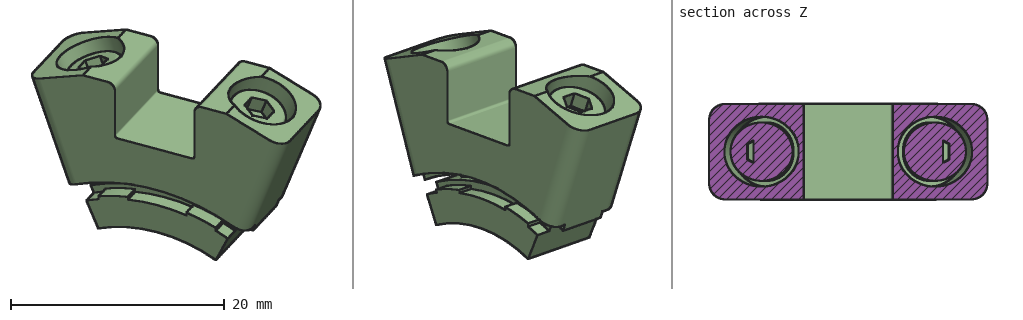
import cadquery as cq
import math


tilt = 20.0
half_length = 13.42
body_width = 9.0
top_z = 30.37
shoulder_x = 7.52
body_arc_radius = 19.87
corner_radius = 1.5
slot_width = 8.3
slot_depth = 5.95
slot_mouth_radius = 0.8
slot_floor_radius = 0.25

rib_radius = 19.17
rib_width = 4.91
rib_overlap = 0.27
jaw_width = 8.0
jaw_inner_radius = 14.85
jaw_outer_radius = 18.65
jaw_half_angle = 24.5
ledge_radius = 17.85
pad_radius = 18.15
pad_inner_x = 3.05
pad_outer_x = 6.15

counterbore_diameter = 6.5
counterbore_x = 9.08
head_diameter = 5.5
head_height = 3.0
head_recess = 1.05
head_edge_radius = 0.55
shank_diameter = 3.0
socket_flats = 2.5
socket_depth = 1.5

slope = math.tan(math.radians(tilt))
shoulder_end_z = top_z - (half_length - shoulder_x) * slope


def across_y(profile, width):
    """Extrude an XZ profile symmetrically about Y = 0."""
    return profile.extrude(width / 2, both=True)


def disc(radius, width):
    return across_y(cq.Workplane("XZ").circle(radius), width)


def wedge(width):
    """Body outline with sloping ends, running down past its lower arc."""
    base_z = jaw_inner_radius
    base_x = half_length - (shoulder_end_z - base_z) * slope
    outline = cq.Workplane("XZ").polyline([
        (-base_x, base_z),
        (-half_length, shoulder_end_z),
        (-shoulder_x, top_z),
        (shoulder_x, top_z),
        (half_length, shoulder_end_z),
        (base_x, base_z),
    ]).close()
    return across_y(outline, width)


def end_wall_edges(block):
    """Round the four long edges of the sloping end walls."""
    for side in (-1, 1):
        direction = cq.Vector(side * slope, 0, 1)
        block = block.edges(cq.selectors.ParallelDirSelector(direction)).fillet(corner_radius)
    return block


def make_body():
    body = end_wall_edges(wedge(body_width))
    slot = (
        cq.Workplane("XY")
        .box(slot_width, body_width, slot_depth, centered=(True, True, False))
        .translate((0, 0, top_z - slot_depth))
        .edges("|Y and <Z")
        .fillet(slot_floor_radius)
    )
    body = body.cut(slot)
    for side in (-1, 1):
        mouth_edge = cq.selectors.NearestToPointSelector((side * slot_width / 2, 0, top_z))
        body = body.edges(mouth_edge).fillet(slot_mouth_radius)
    return body.cut(disc(body_arc_radius, body_width))


def make_rib():
    ring = disc(body_arc_radius + rib_overlap, rib_width).cut(disc(rib_radius, rib_width))
    return wedge(rib_width).intersect(ring)


def screw_plane(side, depth):
    """Plane square to a screw axis, the given depth below the shoulder."""
    angle = math.radians(tilt)
    axis = cq.Vector(side * math.sin(angle), 0, math.cos(angle))
    surface_z = top_z - (counterbore_x - shoulder_x) * slope
    surface_point = cq.Vector(side * counterbore_x, 0, surface_z)
    return cq.Plane(origin=surface_point - axis * depth, xDir=(0, 1, 0), normal=axis)


def jaw_sector(outer_radius, width):
    reach = 2 * outer_radius
    angle = math.radians(jaw_half_angle)
    far_x = reach * math.sin(angle)
    far_z = reach * math.cos(angle)
    sector = cq.Workplane("XZ").polyline([(0, 0), (-far_x, far_z), (far_x, far_z)]).close()
    ring = disc(outer_radius, width).cut(disc(jaw_inner_radius, width))
    return across_y(sector, width).intersect(ring)


def make_jaw():
    """Full-width ledge, central ridge, and two raised pads with upright sides."""
    jaw = jaw_sector(ledge_radius, jaw_width).union(jaw_sector(jaw_outer_radius, rib_width))
    pad_layer = jaw_sector(pad_radius, jaw_width)
    for side in (-1, 1):
        pad_zone = (
            cq.Workplane("XY")
            .center(side * (pad_inner_x + pad_outer_x) / 2, 0)
            .rect(pad_outer_x - pad_inner_x, jaw_width)
            .extrude(pad_radius)
        )
        jaw = jaw.union(pad_layer.intersect(pad_zone))
    return jaw


def make_counterbore(side):
    depth = head_recess + head_height
    floor = cq.Workplane(screw_plane(side, depth))
    return floor.circle(counterbore_diameter / 2).extrude(2 * depth)


def make_screw(side):
    head_top = screw_plane(side, head_recess)
    head = (
        cq.Workplane(head_top)
        .circle(head_diameter / 2)
        .extrude(-head_height)
        .edges(cq.selectors.NearestToPointSelector(head_top.origin.toTuple()))
        .fillet(head_edge_radius)
    )
    socket_corners = socket_flats / math.cos(math.pi / 6)
    socket = cq.Workplane(head_top).polygon(6, socket_corners).extrude(-socket_depth)
    shank_end_z = (jaw_inner_radius + jaw_outer_radius) / 2
    shank_length = (head_top.origin.z - shank_end_z) / math.cos(math.radians(tilt))
    shank = cq.Workplane(head_top).circle(shank_diameter / 2).extrude(-shank_length)
    return head.union(shank).cut(socket)


result = make_body().union(make_rib())
for side in (-1, 1):
    result = result.cut(make_counterbore(side))
result = result.union(make_jaw())
for side in (-1, 1):
    result = result.union(make_screw(side))